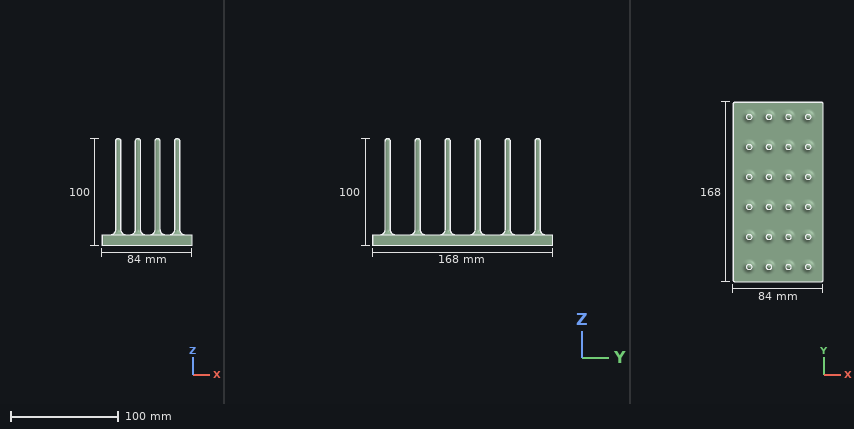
import cadquery as cq
import math

plate_width = 84.0
plate_length = 168.0
plate_thickness = 10.0
corner_radius = 2.0

total_height = 100.0
pin_diameter = 5.0
pin_radius = pin_diameter / 2
flare_radius = 5.0

columns = 4
rows = 6
column_span = 55.0
column_pitch = column_span / (columns - 1)
row_pitch = plate_length / rows
first_column_x = 15.0
first_row_y = row_pitch / 2


def make_plate():
    """Flat plate with rounded upright corners."""
    plate = cq.Workplane("XY").box(plate_width, plate_length, plate_thickness, centered=False)
    return plate.edges("|Z").fillet(corner_radius)


def make_pin():
    """Pin revolved about Z, from its root inside the plate to its domed tip."""
    shaft_bottom = plate_thickness + flare_radius
    shaft_top = total_height - pin_radius
    foot_radius = pin_radius + flare_radius
    root_bottom = plate_thickness / 2
    diagonal = math.sqrt(0.5)
    flare_middle = (
        foot_radius - flare_radius * diagonal,
        shaft_bottom - flare_radius * diagonal,
    )
    dome_middle = (pin_radius * diagonal, shaft_top + pin_radius * diagonal)
    profile = (
        cq.Workplane("XZ")
        .moveTo(0, root_bottom)
        .lineTo(foot_radius, root_bottom)
        .lineTo(foot_radius, plate_thickness)
        .threePointArc(flare_middle, (pin_radius, shaft_bottom))
        .lineTo(pin_radius, shaft_top)
        .threePointArc(dome_middle, (0, total_height))
        .close()
    )
    return profile.revolve(360, (0, 0), (0, 1))


def add_pins(plate):
    """Join one pin to the plate at every place in the grid."""
    pin = make_pin()
    for column in range(columns):
        for row in range(rows):
            x = first_column_x + column * column_pitch
            y = first_row_y + row * row_pitch
            plate = plate.union(pin.translate((x, y, 0)))
    return plate


result = add_pins(make_plate())